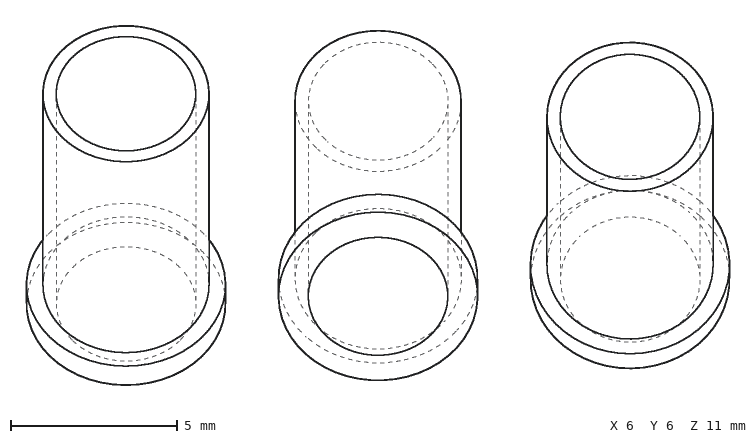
import cadquery as cq

total_height = 11.0
flange_height = 1.0
flange_diameter = 6.0
sleeve_diameter = 5.0
bore_diameter = 4.2

flange = cq.Workplane("XY").circle(flange_diameter / 2).extrude(flange_height)
sleeve = cq.Workplane("XY").circle(sleeve_diameter / 2).extrude(total_height)
bore = cq.Workplane("XY").circle(bore_diameter / 2).extrude(total_height)

result = flange.union(sleeve).cut(bore)